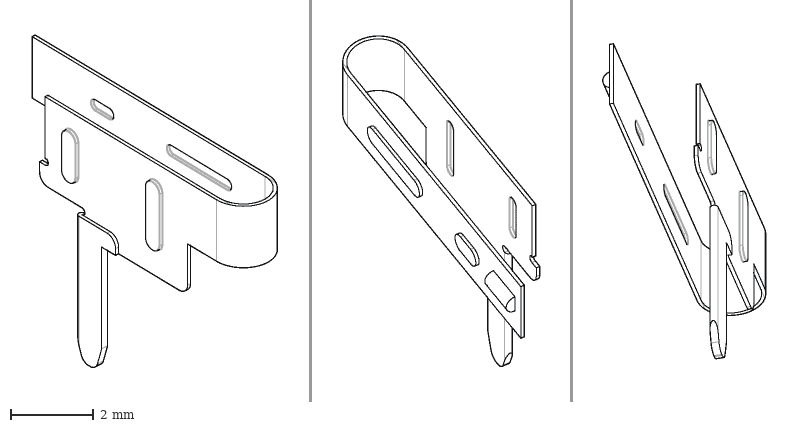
import cadquery as cq


length = 9.15
thickness = 0.1
clip_depth = 1.7
strip_height = 1.8
rear_drop = 0.05
bend_radius = clip_depth / 2
bend_x = length - bend_radius

plate_left = 2.18
plate_right = 7.265
plate_bottom = -3.3
lug_left = 1.99
lug_bottom = -2.6
corner_radius = 0.3
notch_radius = 0.1
lug_notch_x = 2.2
lug_top = -1.995

pin_left = 3.395
pin_width = 0.915
pin_top = lug_bottom - 2 * notch_radius
pin_bottom = -7.0
fold_radius = thickness
fold_x = pin_left + fold_radius
flange_right = 4.8
taper_top = -6.28
taper_left = 0.25
taper_right = 0.21
tip_radius = 0.28

bead_width = 0.5
bead_wall = thickness
bead_fillet = 0.02
front_bead_height = 0.1
rear_bead_height = 0.09
depth_slack = 0.005
front_bead_top = -0.5
front_beads = [(3.12, 1.5), (6.11, 2.0)]
rear_bead_z = -0.95
rear_beads = [(2.5, 1.0), (5.95, 2.5)]

rib_left = 0.28
rib_length = 1.025
rib_radius = 0.25
rib_z = -0.9


def make_block(x_min, x_max, z_min, z_max, y_min, y_max):
    """Box given by its limits on each axis."""
    size = (x_max - x_min, y_max - y_min, z_max - z_min)
    return cq.Workplane("XY").box(*size, centered=False).translate((x_min, y_min, z_min))


def extrude_along_y(sketch, y_min, y_max):
    """Extrude an XZ outline between two depths."""
    return sketch.extrude(-(y_max - y_min)).translate((0, y_min, 0))


def make_strip():
    """U-shaped strip whose bend descends from the front arm to the rear arm."""
    inner_y = clip_depth - thickness
    u_shape = (
        cq.Workplane("XY")
        .moveTo(plate_left, 0)
        .lineTo(bend_x, 0)
        .threePointArc((length, bend_radius), (bend_x, clip_depth))
        .lineTo(0, clip_depth)
        .lineTo(0, inner_y)
        .lineTo(bend_x, inner_y)
        .threePointArc((length - thickness, bend_radius), (bend_x, thickness))
        .lineTo(plate_left, thickness)
        .close()
        .extrude(-strip_height - rear_drop)
    )
    top_edge = [(0, 0), (thickness, 0), (inner_y, -rear_drop), (clip_depth, -rear_drop)]
    bottom_edge = [(y, z - strip_height) for y, z in reversed(top_edge)]
    side_band = cq.Workplane("YZ").polyline(top_edge + bottom_edge).close().extrude(length)
    return u_shape.intersect(side_band)


def make_plate():
    """Lower part of the front arm, with a rounded lug and two relief notches."""
    outline = (
        cq.Workplane("XZ")
        .moveTo(plate_left, 0)
        .lineTo(plate_left, lug_top + 2 * notch_radius)
        .lineTo(lug_notch_x, lug_top + 2 * notch_radius)
        .threePointArc((lug_notch_x + notch_radius, lug_top + notch_radius), (lug_notch_x, lug_top))
        .lineTo(lug_left, lug_top)
        .lineTo(lug_left, lug_bottom + corner_radius)
        .radiusArc((lug_left + corner_radius, lug_bottom), -corner_radius)
        .lineTo(fold_x, lug_bottom)
        .threePointArc((fold_x + notch_radius, lug_bottom - notch_radius), (fold_x, pin_top))
        .lineTo(fold_x, plate_bottom)
        .lineTo(plate_right - corner_radius, plate_bottom)
        .radiusArc((plate_right, plate_bottom + corner_radius), -corner_radius)
        .lineTo(plate_right, 0)
        .close()
    )
    return extrude_along_y(outline, 0, thickness)


def make_pin():
    """Double-layer pin with a rounded fold on its left edge and a tapered tip."""
    pin_right = pin_left + pin_width
    front_y = -thickness
    section = (
        cq.Workplane("XY")
        .moveTo(pin_right, front_y)
        .lineTo(fold_x, front_y)
        .threePointArc((pin_left, front_y + fold_radius), (fold_x, thickness))
        .lineTo(pin_right, thickness)
        .close()
        .extrude(pin_bottom - pin_top)
        .translate((0, 0, pin_top))
    )
    outline = (
        cq.Workplane("XZ")
        .moveTo(pin_left, pin_top)
        .lineTo(pin_left, taper_top)
        .lineTo(pin_left + taper_left, pin_bottom)
        .lineTo(pin_right - taper_right, pin_bottom)
        .lineTo(pin_right, taper_top)
        .lineTo(pin_right, pin_top)
        .close()
    )
    blade = extrude_along_y(outline, front_y, thickness).edges("|Y and <Z").fillet(tip_radius)
    flange = make_block(fold_x, flange_right, plate_bottom, pin_top, front_y, 0)
    flange = flange.edges("|Y and >X and >Z").fillet(corner_radius)
    return section.intersect(blade).union(flange)


def make_slot(x, z, slot_length, slot_width, angle, y_min, y_max):
    """Round-ended block facing along Y."""
    sketch = cq.Workplane("XZ").center(x, z).slot2D(slot_length, slot_width, angle)
    return extrude_along_y(sketch, y_min, y_max)


def emboss(body, x, z, bead_length, angle, face_y, outward, height, round_outside):
    """Raise a bead on an outer face and hollow it from the inner face.

    The edges of the hollow are rounded, and those of the raised side too if round_outside is set.
    """
    outer_y = face_y + outward * height
    inner_y = face_y - outward * thickness
    hollow_y = inner_y + outward * height
    hollow_length = bead_length - 2 * bead_wall
    hollow_width = bead_width - 2 * bead_wall
    raised = make_slot(x, z, bead_length, bead_width, angle, *sorted((face_y, outer_y)))
    hollow = make_slot(x, z, hollow_length, hollow_width, angle, *sorted((inner_y, hollow_y)))

    last_rounded_y = outer_y if round_outside else hollow_y
    reach = bead_length / 2 + bead_fillet
    edges_in_reach = cq.selectors.BoxSelector(
        (x - reach, inner_y - outward * depth_slack, z - reach),
        (x + reach, last_rounded_y + outward * depth_slack, z + reach),
    )
    edges_along_y = cq.selectors.ParallelDirSelector(cq.Vector(0, 1, 0))
    return body.union(raised).cut(hollow).edges(edges_in_reach - edges_along_y).fillet(bead_fillet)


def make_rib():
    """Half-round rib lying along X on the rear face."""
    rod = cq.Workplane("YZ").center(clip_depth, rib_z).circle(rib_radius).extrude(rib_length)
    rear_half = make_block(
        0, rib_length, rib_z - rib_radius, rib_z + rib_radius, clip_depth, clip_depth + rib_radius
    )
    return rod.intersect(rear_half).translate((rib_left, 0, 0))


result = make_strip().union(make_plate()).union(make_pin()).union(make_rib())
for bead_x, bead_length in front_beads:
    bead_z = front_bead_top - bead_length / 2
    result = emboss(result, bead_x, bead_z, bead_length, 90, 0, -1, front_bead_height, True)
for bead_x, bead_length in rear_beads:
    result = emboss(result, bead_x, rear_bead_z, bead_length, 0, clip_depth, 1, rear_bead_height, False)